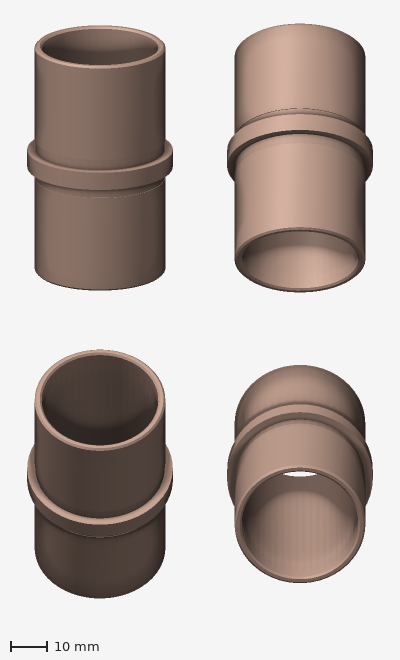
import cadquery as cq

length = 65.0
outer_diameter = 35.9
bore_diameter = 32.0
end_chamfer = 0.5

collar_diameter = 40.0
collar_width = 5.0
groove_width = 3.0
groove_depth = 0.2


def cylinder(diameter, height, bottom):
    """Solid cylinder on the Z axis, starting at the given height."""
    return cq.Workplane("XY").workplane(offset=bottom).circle(diameter / 2).extrude(height)


def make_tube():
    """Plain tube with the inner and outer edges of both ends chamfered."""
    body = cylinder(outer_diameter, length, -length / 2)
    bore = cylinder(bore_diameter, length, -length / 2)
    return body.cut(bore).faces("<Z or >Z").edges().chamfer(end_chamfer)


def make_relief():
    """Ring that lowers the tube surface across the collar and both grooves."""
    relief_length = collar_width + 2 * groove_width
    ring = cylinder(outer_diameter, relief_length, -relief_length / 2)
    core = cylinder(outer_diameter - 2 * groove_depth, relief_length, -relief_length / 2)
    return ring.cut(core)


def make_collar():
    """Raised ring around the middle of the tube."""
    ring = cylinder(collar_diameter, collar_width, -collar_width / 2)
    return ring.cut(cylinder(bore_diameter, collar_width, -collar_width / 2))


result = make_tube().cut(make_relief()).union(make_collar())